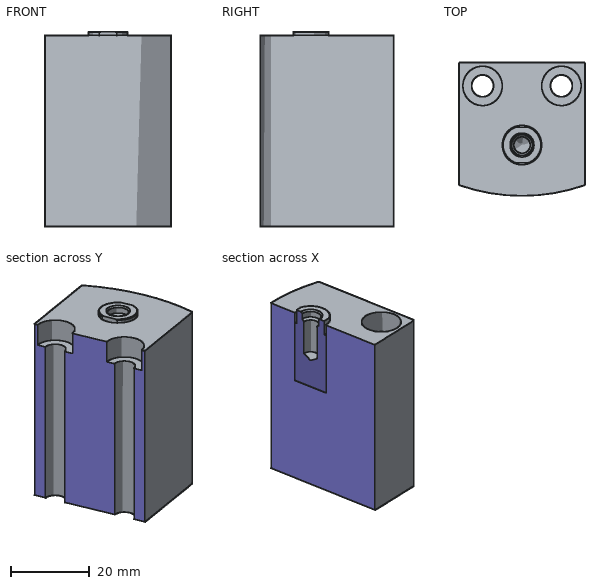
import cadquery as cq
import math

housing_width = 32.0
housing_depth = 33.9
overall_height = 49.5
rod_projection = 1.0
housing_height = overall_height - rod_projection
rod_to_back = 21.0
front_radius = 48.0
corner_radius = 0.4

mount_spacing = 20.0
mount_to_back = 6.0
mount_diameter = 5.5
counterbore_diameter = 10.0
counterbore_depth = 5.7

rod_diameter = 10.0
rod_insertion = 19.8
rod_chamfer = 0.2
across_flats = 9.0
flat_length = 3.95
socket_diameter = 5.3
socket_depth = 2.0
socket_chamfer = 0.4
tap_diameter = 4.15
tap_depth = 11.9
drill_half_angle = math.radians(59)

half_width = housing_width / 2
back_y = rod_to_back
front_y = back_y - housing_depth
front_sagitta = front_radius - math.sqrt(front_radius**2 - half_width**2)
front_corner_y = front_y + front_sagitta
rod_bottom_z = housing_height - rod_insertion


def make_housing():
    """Block with a bowed front, two counterbored holes and a blind rod bore."""
    body = (
        cq.Workplane("XY")
        .moveTo(-half_width, back_y)
        .lineTo(-half_width, front_corner_y)
        .threePointArc((0, front_y), (half_width, front_corner_y))
        .lineTo(half_width, back_y)
        .close()
        .extrude(housing_height)
        .edges("|Z")
        .fillet(corner_radius)
    )
    top = cq.Workplane("XY", origin=(0, 0, housing_height))
    mount_y = back_y - mount_to_back
    mount_points = [(side * mount_spacing / 2, mount_y) for side in (-1, 1)]
    through_holes = top.pushPoints(mount_points).circle(mount_diameter / 2).extrude(-housing_height)
    counterbores = top.pushPoints(mount_points).circle(counterbore_diameter / 2).extrude(-counterbore_depth)
    rod_bore = top.circle(rod_diameter / 2).extrude(-rod_insertion)
    return body.cut(through_holes).cut(counterbores).cut(rod_bore)


def make_socket():
    """Revolved cutter: chamfered mouth, clearance bore, tapered step and tapped bore."""
    socket_radius = socket_diameter / 2
    tap_radius = tap_diameter / 2
    step_z = overall_height - socket_depth
    tap_z = overall_height - tap_depth
    return (
        cq.Workplane("XZ")
        .moveTo(0, overall_height)
        .lineTo(socket_radius + socket_chamfer, overall_height)
        .lineTo(socket_radius, overall_height - socket_chamfer)
        .lineTo(socket_radius, step_z)
        .lineTo(tap_radius, step_z - (socket_radius - tap_radius))
        .lineTo(tap_radius, tap_z)
        .lineTo(0, tap_z - tap_radius / math.tan(drill_half_angle))
        .close()
        .revolve(360, (0, 0, 0), (0, 1, 0))
    )


def make_rod():
    """Round rod, chamfered on top, with a socket and flats that run down into the bore."""
    rod = (
        cq.Workplane("XY", origin=(0, 0, rod_bottom_z))
        .circle(rod_diameter / 2)
        .extrude(rod_insertion + rod_projection)
        .faces(">Z")
        .chamfer(rod_chamfer)
    )
    flat_depth = (rod_diameter - across_flats) / 2
    for side in (-1, 1):
        flat_center_y = side * (across_flats + flat_depth) / 2
        flat = (
            cq.Workplane("XY", origin=(0, flat_center_y, overall_height))
            .rect(rod_diameter, flat_depth)
            .extrude(-flat_length)
        )
        rod = rod.cut(flat)
    return rod.cut(make_socket())


housing = make_housing()
rod = make_rod()
result = cq.Compound.makeCompound([housing.val(), rod.val()])